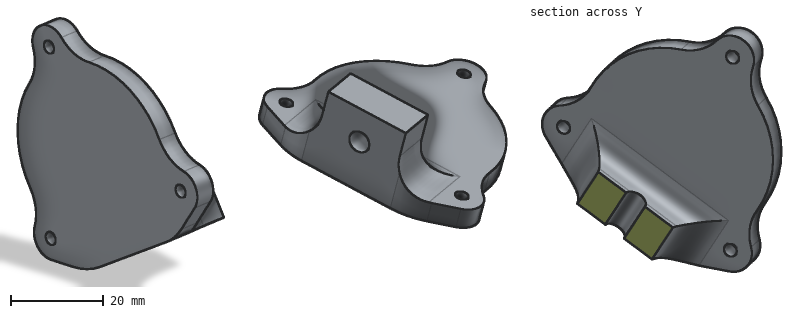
import cadquery as cq
import math

plate_thickness = 5.0
disc_centre = (0, 0)
disc_radius = 22.5
lug_radius = 5.0
screw_hole_diameter = 3.0
top_lug = (-13.1, 22.45)
side_lug = (26.2, 0.35)
bottom_lug = (-12.6, -22.6)
neck_radius = 10.4

lower_round = (-6.7, -10.0)
lower_round_radius = 17.3
side_round = (14.6, -1.05)
side_round_radius = 14.05

total_depth = 20.0
block_length = 20.0
block_face_middle = (6.65, -11.0)
end_flare_radius = 8.6
face_flare_radius = 5.6
cross_hole_diameter = 5.0
cross_hole_y = 11.95
clearance = 55.05


def toward(start, end, distance):
    """Point at a distance from start on the ray through end."""
    ratio = distance / math.dist(start, end)
    return (start[0] + ratio * (end[0] - start[0]), start[1] + ratio * (end[1] - start[1]))


def neck_centre(first, first_radius, second, second_radius):
    """Centre of the neck arc touching two circles, on the left of first to second."""
    span = math.dist(first, second)
    first_reach = first_radius + neck_radius
    second_reach = second_radius + neck_radius
    along = (span**2 + first_reach**2 - second_reach**2) / (2 * span)
    aside = math.sqrt(first_reach**2 - along**2)
    ux = (second[0] - first[0]) / span
    uz = (second[1] - first[1]) / span
    return (first[0] + along * ux - aside * uz, first[1] + along * uz + aside * ux)


def outer_tangent(first, first_radius, second, second_radius):
    """Touch points of the line along two circles, on the left of first to second."""
    heading = math.atan2(second[1] - first[1], second[0] - first[0])
    lean = math.acos((first_radius - second_radius) / math.dist(first, second))
    normal = (math.cos(heading + lean), math.sin(heading + lean))
    return [
        (centre[0] + radius * normal[0], centre[1] + radius * normal[1])
        for centre, radius in ((first, first_radius), (second, second_radius))
    ]


def arc_to(sketch, start, end, centre, radius):
    """Add the shorter arc from start to end."""
    chord_middle = ((start[0] + end[0]) / 2, (start[1] + end[1]) / 2)
    return sketch.threePointArc(toward(centre, chord_middle, radius), end)


disc = (disc_centre, disc_radius)
lugs = {name: (centre, lug_radius) for name, centre in
        (("top", top_lug), ("side", side_lug), ("bottom", bottom_lug))}
necked_chain = [lugs["bottom"], disc, lugs["top"], disc, lugs["side"]]
tangent_chain = [
    lugs["side"],
    (side_round, side_round_radius),
    (lower_round, lower_round_radius),
    lugs["bottom"],
]
tangent_lines = [outer_tangent(*a, *b) for a, b in zip(tangent_chain, tangent_chain[1:])]
slope_start, slope_end = tangent_lines[1]


def plate_prism(depth):
    """Plate outline extruded from the front face toward +Y."""
    start = tangent_lines[-1][1]
    point = start
    sketch = cq.Workplane("XZ").moveTo(*start)
    for (first, first_radius), (second, second_radius) in zip(necked_chain, necked_chain[1:]):
        neck = neck_centre(first, first_radius, second, second_radius)
        neck_start = toward(first, neck, first_radius)
        neck_end = toward(second, neck, second_radius)
        sketch = arc_to(sketch, point, neck_start, first, first_radius)
        sketch = arc_to(sketch, neck_start, neck_end, neck, neck_radius)
        point = neck_end
    for (centre, radius), (line_start, line_end) in zip(tangent_chain, tangent_lines):
        sketch = arc_to(sketch, point, line_start, centre, radius).lineTo(*line_end)
        point = line_end
    return sketch.close().extrude(-depth)


def flare_inset(radius):
    """Distance of a quarter arc's midpoint from the two faces it is tangent to."""
    return radius * (1 - math.sqrt(0.5))


def rear_block():
    """Flared block with its cross hole, trimmed to the plate outline."""
    half = block_length / 2
    foot = half + end_flare_radius
    inset = flare_inset(end_flare_radius)
    flare_top = plate_thickness + end_flare_radius
    lengthwise = (
        cq.Workplane("XY")
        .moveTo(-foot, 0)
        .lineTo(-foot, plate_thickness)
        .threePointArc((-half - inset, plate_thickness + inset), (-half, flare_top))
        .lineTo(-half, total_depth)
        .lineTo(half, total_depth)
        .lineTo(half, flare_top)
        .threePointArc((half + inset, plate_thickness + inset), (foot, plate_thickness))
        .lineTo(foot, 0)
        .close()
        .extrude(clearance, both=True)
    )

    inset = flare_inset(face_flare_radius)
    crosswise = (
        cq.Workplane("YZ")
        .moveTo(0, -clearance)
        .lineTo(0, face_flare_radius)
        .lineTo(plate_thickness, face_flare_radius)
        .threePointArc((plate_thickness + inset, inset), (plate_thickness + face_flare_radius, 0))
        .lineTo(total_depth, 0)
        .lineTo(total_depth, -clearance)
        .close()
        .extrude(clearance, both=True)
    )
    cross_hole = (
        cq.Workplane("XY")
        .center(0, cross_hole_y)
        .circle(cross_hole_diameter / 2)
        .extrude(clearance, both=True)
    )
    slope = math.degrees(math.atan2(slope_start[1] - slope_end[1], slope_start[0] - slope_end[0]))
    block = lengthwise.intersect(crosswise).cut(cross_hole)
    block = block.rotate((0, 0, 0), (0, 1, 0), -slope)
    block = block.translate((block_face_middle[0], 0, block_face_middle[1]))
    return block.intersect(plate_prism(total_depth))


screw_holes = (
    cq.Workplane("XZ")
    .pushPoints([top_lug, side_lug, bottom_lug])
    .circle(screw_hole_diameter / 2)
    .extrude(-total_depth)
)
result = plate_prism(plate_thickness).union(rear_block()).cut(screw_holes)